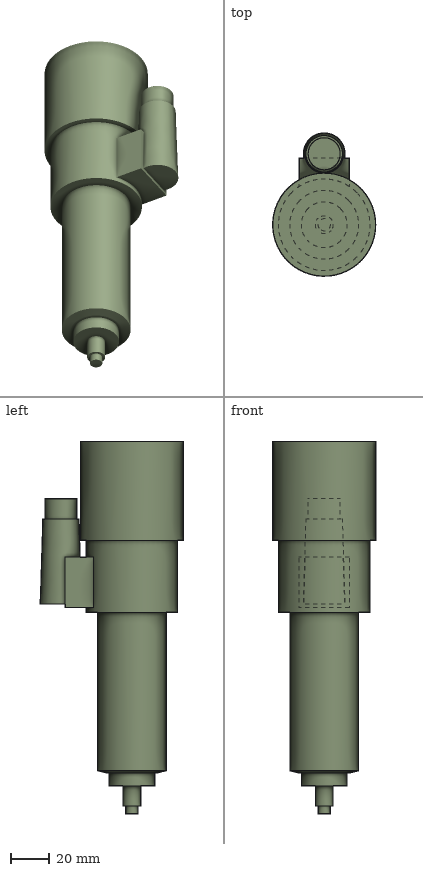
import cadquery as cq

TOTAL_HEIGHT = 194.5
HEAD_DIAMETER = 53.9
HEAD_BOTTOM = 142.8
SHOULDER_DIAMETER = 47.9
SHOULDER_BOTTOM = 105.3
BARREL_DIAMETER = 36.0
BARREL_BOTTOM = 22.5
TAPER_END_DIAMETER = 26.8
TAPER_BOTTOM = 21.4
COLLAR_DIAMETER = 24.0
COLLAR_BOTTOM = 14.5
SHAFT_DIAMETER = 9.3
SHAFT_BOTTOM = 4.0
PIN_DIAMETER = 6.5

OVERALL_DEPTH = 74.9
CONNECTOR_BASE_DIAMETER = 21.8
CONNECTOR_TOP_DIAMETER = 19.0
CONNECTOR_BOTTOM = 109.5
CONNECTOR_TOP = 153.9
CAP_DIAMETER = 16.7
CAP_TOP = 164.5
CONNECTOR_Y = OVERALL_DEPTH - HEAD_DIAMETER / 2 - CONNECTOR_BASE_DIAMETER / 2

BRACKET_WIDTH = 26.3
BRACKET_BACK_Y = 34.8
BRACKET_BOTTOM = 107.8
BRACKET_TOP = 134.0


def revolve_profile(diameter_height_pairs):
    """Revolve a profile about Z, closed along the axis at both ends."""
    outline = [(diameter / 2, height) for diameter, height in diameter_height_pairs]
    first_height = outline[0][1]
    last_height = outline[-1][1]
    points = [(0, first_height)] + outline + [(0, last_height)]
    return cq.Workplane("XZ").polyline(points).close().revolve(360, (0, 0), (0, 1))


def make_body():
    return revolve_profile([
        (PIN_DIAMETER, 0),
        (PIN_DIAMETER, SHAFT_BOTTOM),
        (SHAFT_DIAMETER, SHAFT_BOTTOM),
        (SHAFT_DIAMETER, COLLAR_BOTTOM),
        (COLLAR_DIAMETER, COLLAR_BOTTOM),
        (COLLAR_DIAMETER, TAPER_BOTTOM),
        (TAPER_END_DIAMETER, TAPER_BOTTOM),
        (BARREL_DIAMETER, BARREL_BOTTOM),
        (BARREL_DIAMETER, SHOULDER_BOTTOM),
        (SHOULDER_DIAMETER, SHOULDER_BOTTOM),
        (SHOULDER_DIAMETER, HEAD_BOTTOM),
        (HEAD_DIAMETER, HEAD_BOTTOM),
        (HEAD_DIAMETER, TOTAL_HEIGHT),
    ])


def make_connector():
    connector = revolve_profile([
        (CONNECTOR_BASE_DIAMETER, CONNECTOR_BOTTOM),
        (CONNECTOR_TOP_DIAMETER, CONNECTOR_TOP),
        (CAP_DIAMETER, CONNECTOR_TOP),
        (CAP_DIAMETER, CAP_TOP),
    ])
    return connector.translate((0, CONNECTOR_Y, 0))


def make_bracket():
    return cq.Workplane("XY").box(
        BRACKET_WIDTH,
        BRACKET_BACK_Y,
        BRACKET_TOP - BRACKET_BOTTOM,
        centered=(True, False, False),
    ).translate((0, 0, BRACKET_BOTTOM))


result = make_body().union(make_bracket()).union(make_connector())